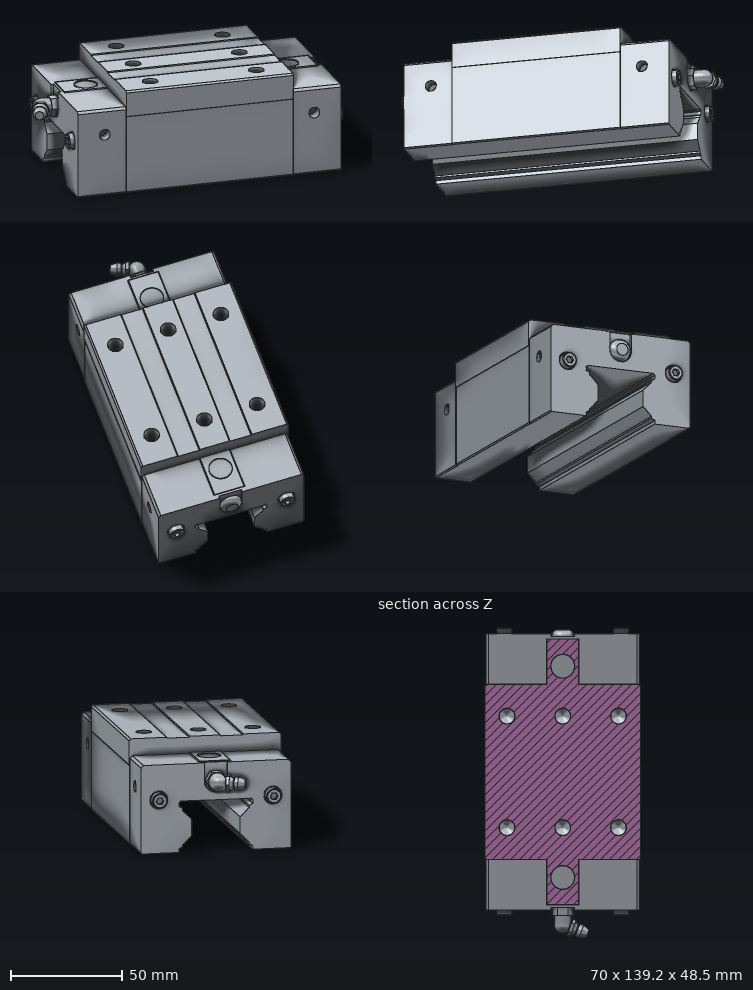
import cadquery as cq
import math

overall_length = 139.2
body_width = 70.0
body_height = 48.5
body_length = 78.8

lower_body_width = 69.6
shoulder_height = 36.3
body_top_chamfer = 0.8
bottom_chamfer = 0.5

strip_half_width = 7.4
groove_outer_half_width = 17.7
relief = 0.4

cap_width = 69.0
cap_height = 40.6
cap_top_chamfer = 1.1
capped_length = 124.2
plate_thickness = 2.4
plate_face = capped_length / 2
cap_length = (capped_length - body_length) / 2 - plate_thickness

mount_diameter = 7.0
mount_spacing = 50.1
mount_depth = 11.1
drill_point_angle = 118.0

top_mark_diameter = 10.6
top_mark_offset = 47.5
side_hole_diameter = 5.0
side_hole_offset = 49.4
side_hole_height = 28.7
side_hole_depth = 5.5

screw_spacing = 52.5
screw_height = 24.5
head_diameter = 6.8
head_rim_chamfer = 0.4
head_protrusion = 2.5
screw_recess_diameter = 8.1
socket_corner_diameter = 3.5
socket_depth = 1.7
head_face = plate_face + head_protrusion

port_height = 32.5
port_width = 10.6
port_depth = 1.3
port_floor = plate_face - port_depth

plug_radius = 5.2
plug_flat_radius = 2.8
plug_bulge_radius = 4.3
plug_bulge_height = 2.2
plug_height = 3.0

nipple_hex_flats = 8.4
nipple_hex_end = 64.6
elbow_radius = 3.9
elbow_distance = 68.5
outlet_angle = 21.0
collar_start = 3.5
collar_end = 5.0
collar_flats = 7.0
collar_cone_radius = 3.5
collar_cone_end = 6.7
neck_radius = 2.2
barb_start = 7.1
barb_widest = 8.9
barb_start_radius = 2.8
barb_radius = 3.13
tip_radius = 2.0

tip_distance = overall_length - head_face
outlet_drop = math.radians(outlet_angle)
outlet_length = (tip_distance - elbow_distance - tip_radius * math.cos(outlet_drop)) / math.sin(outlet_drop)

CHANNEL_HALF = [
    (17.0, 0.0),
    (17.0, 1.7),
    (15.3, 2.5),
    (15.3, 3.3),
    (11.1, 7.5),
    (11.1, 15.2),
    (15.3, 19.4),
    (15.3, 20.3),
    (17.0, 21.2),
    (17.0, 22.7),
    (16.1, 23.5),
]


def with_mirror(half):
    """Close an (X, Z) half outline with its reflection across X = 0."""
    return half + [(-x, z) for x, z in reversed(half)]


def extrude_along_y(points, y_start, length):
    """Extrude an (X, Z) outline toward +Y."""
    plane = cq.Workplane("XZ", origin=(0, y_start, 0))
    return plane.polyline(points).close().extrude(-length)


def facing_out(x, y, z):
    """Workplane facing +Y, at a point on the rear end of the part."""
    return cq.Workplane(cq.Plane(origin=(x, y, z), xDir=(1, 0, 0), normal=(0, 1, 0)))


def hexagon(workplane, flats):
    """Hexagon outline with two corners on the local X axis."""
    return workplane.polygon(6, flats / math.cos(math.pi / 6))


def both_ends(solid):
    """Repeat a rear-end feature at the front end."""
    return solid.union(solid.mirror("XZ"))


def make_body():
    low = lower_body_width / 2
    half = body_width / 2
    groove_floor = body_height - relief
    outline = [
        (low - bottom_chamfer, 0),
        (low, bottom_chamfer),
        (low, shoulder_height),
        (half, shoulder_height),
        (half, body_height - body_top_chamfer),
        (half - body_top_chamfer, body_height),
        (groove_outer_half_width, body_height),
        (groove_outer_half_width - relief, groove_floor),
        (strip_half_width, groove_floor),
        (strip_half_width - relief, body_height),
    ]
    body = extrude_along_y(with_mirror(outline), -body_length / 2, body_length)
    return body.cut(make_mount_holes())


def make_mount_holes():
    radius = mount_diameter / 2
    point_depth = radius / math.tan(math.radians(drill_point_angle / 2))
    hole = (
        cq.Workplane("XZ")
        .polyline([
            (0, body_height),
            (radius, body_height),
            (radius, body_height - mount_depth),
            (0, body_height - mount_depth - point_depth),
        ])
        .close()
        .revolve(360, (0, 0, 0), (0, 1, 0))
    )
    holes = cq.Workplane("XY")
    for column in (-0.5, 0, 0.5):
        for row in (-0.5, 0.5):
            holes = holes.add(hole.translate((column * mount_spacing, row * mount_spacing, 0)))
    return holes.combine()


def make_cap():
    """Rear end cap with its seal plate, raised centre pad, marks and recesses."""
    half = cap_width / 2
    outline = [
        (half - bottom_chamfer, 0),
        (half, bottom_chamfer),
        (half, cap_height - cap_top_chamfer),
        (half - cap_top_chamfer, cap_height),
    ]
    cap_start = body_length / 2
    cap = extrude_along_y(with_mirror(outline), cap_start, cap_length + plate_thickness)

    pad_outline = [
        (strip_half_width, cap_height),
        (strip_half_width - relief, cap_height + relief),
    ]
    cap = cap.union(extrude_along_y(with_mirror(pad_outline), cap_start, cap_length))

    top_mark = (
        cq.Workplane("XY", origin=(0, top_mark_offset, cap_height))
        .circle(top_mark_diameter / 2)
        .extrude(relief)
    )
    side_holes = (
        cq.Workplane("YZ", origin=(-half, side_hole_offset, side_hole_height))
        .circle(side_hole_diameter / 2)
        .extrude(side_hole_depth)
    )
    side_holes = side_holes.union(side_holes.mirror("YZ"))

    port = facing_out(0, port_floor, port_height).circle(port_width / 2).extrude(port_depth)
    port_opening = cq.Workplane("XY").box(
        port_width, port_depth, cap_height - port_height, centered=(True, False, False)
    )
    port = port.union(port_opening.translate((0, port_floor, port_height)))

    cap = cap.cut(top_mark).cut(side_holes).cut(port)
    for side in (-0.5, 0.5):
        recess = facing_out(side * screw_spacing, port_floor, screw_height)
        cap = cap.cut(recess.circle(screw_recess_diameter / 2).extrude(port_depth))
    return cap


def make_screw_head(x):
    head = (
        facing_out(x, port_floor, screw_height)
        .circle(head_diameter / 2)
        .extrude(head_face - port_floor)
        .faces(">Y")
        .chamfer(head_rim_chamfer)
    )
    socket_flats = socket_corner_diameter * math.cos(math.pi / 6)
    socket = hexagon(facing_out(x, head_face, screw_height), socket_flats).extrude(-socket_depth)
    return head.cut(socket)


def make_plug():
    plug = (
        cq.Workplane("XY")
        .lineTo(plug_radius, 0)
        .threePointArc((plug_bulge_radius, plug_bulge_height), (plug_flat_radius, plug_height))
        .lineTo(0, plug_height)
        .close()
        .revolve(360, (0, 0, 0), (0, 1, 0))
    )
    return plug.translate((0, port_floor, port_height))


def make_nipple():
    base = cq.Workplane("XZ", origin=(0, -port_floor, port_height))
    nut = hexagon(base, nipple_hex_flats).extrude(nipple_hex_end - port_floor)
    stem = base.circle(elbow_radius).extrude(elbow_distance - port_floor)
    elbow_centre = (0, -elbow_distance, port_height)
    elbow = cq.Workplane("XY").sphere(elbow_radius).translate(elbow_centre)

    collar_plane = cq.Plane(origin=(collar_start, 0, 0), xDir=(0, 1, 0), normal=(1, 0, 0))
    collar = hexagon(cq.Workplane(collar_plane), collar_flats).extrude(collar_end - collar_start)
    barb = (
        cq.Workplane("XY")
        .polyline([
            (0, 0),
            (0, neck_radius),
            (collar_end, neck_radius),
            (collar_end, collar_cone_radius),
            (collar_cone_end, neck_radius),
            (barb_start, neck_radius),
            (barb_start, barb_start_radius),
            (barb_widest, barb_radius),
            (outlet_length, tip_radius),
            (outlet_length, 0),
        ])
        .close()
        .revolve(360, (0, 0, 0), (1, 0, 0))
    )
    outlet = collar.union(barb).rotate((0, 0, 0), (0, 0, 1), -outlet_angle).translate(elbow_centre)
    return nut.union(stem).union(elbow).union(outlet)


channel = extrude_along_y(with_mirror(CHANNEL_HALF), -plate_face, capped_length)

result = make_body().union(both_ends(make_cap())).cut(channel)
for side in (-0.5, 0.5):
    result = result.union(both_ends(make_screw_head(side * screw_spacing)))
result = result.union(make_plug()).union(make_nipple())